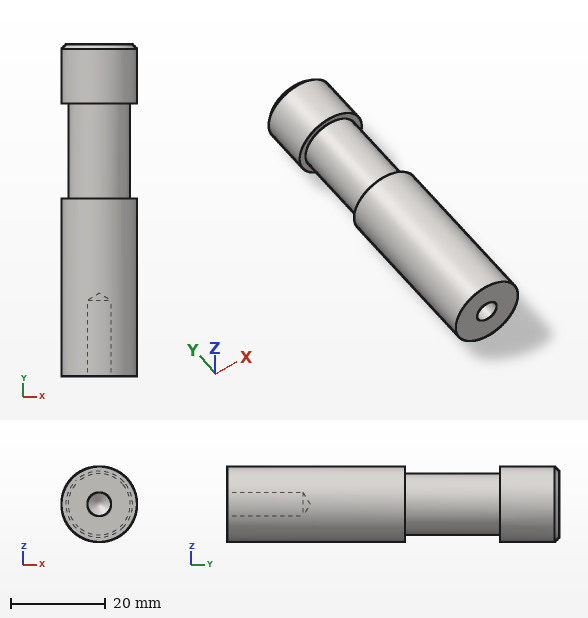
import cadquery as cq
import math

body_diameter = 16.0
neck_diameter = 13.0
total_length = 70.0
head_length = 12.5
neck_length = 20.0
head_chamfer = 1.0

hole_diameter = 5.0
hole_depth = 16.0
drill_point_angle = 118.0

body_radius = body_diameter / 2
neck_radius = neck_diameter / 2
hole_radius = hole_diameter / 2
neck_end = total_length - head_length
neck_start = neck_end - neck_length
drill_point_length = hole_radius / math.tan(math.radians(drill_point_angle / 2))


def revolve_about_y(profile_points):
    """Turn a closed (radius, y) profile around the Y axis."""
    profile = cq.Workplane("XY").polyline(profile_points).close()
    return profile.revolve(360, (0, 0, 0), (0, 1, 0))


def make_pin():
    """Cylindrical pin with a recessed neck and a chamfered head."""
    return revolve_about_y([
        (0, 0),
        (body_radius, 0),
        (body_radius, neck_start),
        (neck_radius, neck_start),
        (neck_radius, neck_end),
        (body_radius, neck_end),
        (body_radius, total_length - head_chamfer),
        (body_radius - head_chamfer, total_length),
        (0, total_length),
    ])


def make_drilled_hole():
    """Cutter for the axial hole, ending in a conical drill point."""
    return revolve_about_y([
        (0, 0),
        (hole_radius, 0),
        (hole_radius, hole_depth),
        (0, hole_depth + drill_point_length),
    ])


result = make_pin().cut(make_drilled_hole())